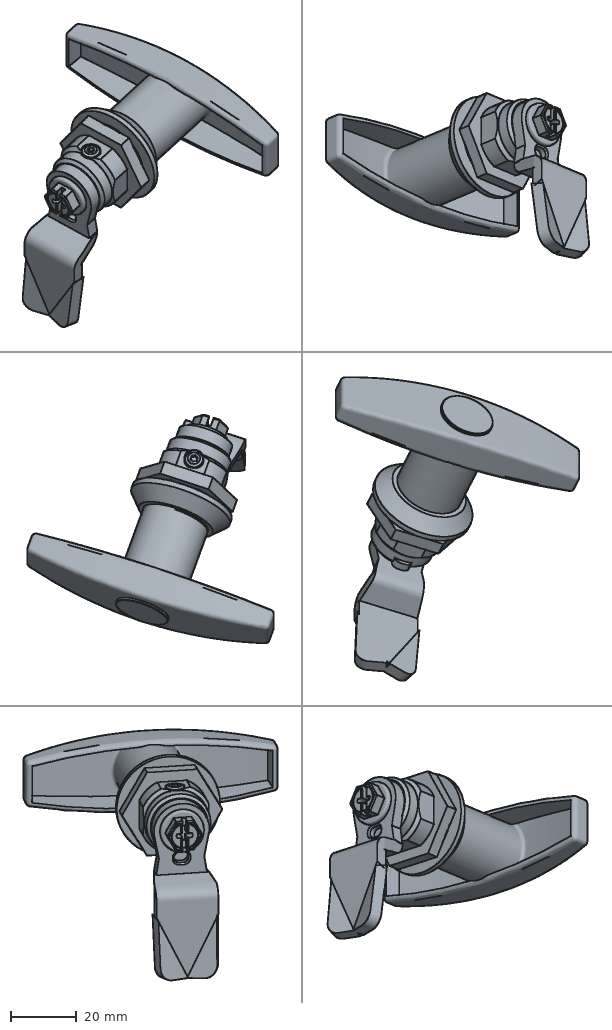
import cadquery as cq
import math


HANDLE_LENGTH = 78.0
HANDLE_BACK_Y = 26.3
HANDLE_TOP_Y = 37.1
HANDLE_HALF_HEIGHT = 11.6
HANDLE_ARC_R = 176.3
HANDLE_EDGE_R = 1.5
HANDLE_RIM_R = 1.5
HANDLE_WALL = 1.7
POCKET_ROOF = 1.7
POCKET_DRAFT = 6.0
STEM_D = 20.9
STEM_ROOT_R = 0.9
STEM_ROOT_BAND = 1.55
CAP_D = 16.8
CAP_TOP_Y = 37.9
CAP_THICKNESS = 1.4
CAP_CHAMFER = 0.15

FLANGE_D = 32.0
FLANGE_TOP_D = 24.0
FLANGE_RIM = 1.7
FLANGE_HEIGHT = 6.2
STOP_HEIGHT = 0.5
THREAD_D = 22.2
FLATS_WIDTH = 20.3
HOUSING_END_Y = -13.1
HOUSING_CHAMFER = 1.2
GASKET_D = 23.4
GASKET_THICKNESS = 0.4
NUT_WIDTH = 27.0
NUT_TOP_Y = -1.9
NUT_THICKNESS = 4.05

SET_SCREW_Y = -10.85
SET_SCREW_D = 5.45
SET_SCREW_LENGTH = 3.9
SET_SCREW_RAISE = 0.5
SET_SCREW_CHAMFER = 0.85
SET_SEAT_D = 6.0
SET_SEAT_DEPTH = 0.8
SET_SOCKET_WIDTH = 1.95
SET_SOCKET_DEPTH = 1.55

ROTOR_D = 19.8
ROTOR_LENGTH = 4.7
ROTOR_CHAMFER = 1.0

CAM_THICKNESS = 4.0
CAM_HEAD_R = 8.6
NECK_TAPER = 12.0
NECK_HALF_WIDTH = 7.0
NECK_Z = -8.9
BEND_Z = -14.1
BEND_ANGLE = 79.0
CRANK_LENGTH = 6.6
FLARE_SLOPE = 0.165
ARM_WIDTH = 19.2
ARM_BOTTOM_Z = -44.8
ARM_CORNER_R = 4.0
FOLD_TOP_Z = -25.0
WING_ANGLE = 18.0
STUD_WIDTH = 5.7
STUD_HEIGHT = 4.5
STUD_Z = -9.0
STUD_LENGTH = 2.5
DIMPLE_DEPTH = 2.5
DIMPLE_CHAMFER = 0.55

WASHER_D = 13.5
WASHER_THICKNESS = 1.55
WASHER_EDGE_R = 0.6
SCREW_WIDTH = 9.4
SCREW_HEAD = 4.0
SCREW_CHAMFER = 0.5
DISH_D = 8.1
DISH_DEPTH = 0.5
SHANK_D = 6.0
SHANK_REACH = 3.1
SLOT_WIDTH = 1.4
SLOT_DEPTH = 2.9
SLOT_MOUTH = 2.4
SLOT_MOUTH_D = 7.5
SLOT_MOUTH_DEPTH = 0.9
CROSS_WIDTH = 5.1
CROSS_HEIGHT = 4.75
CROSS_DEPTH = 3.9

ROTOR_END_Y = HOUSING_END_Y - ROTOR_LENGTH
CAM_FRONT_Y = ROTOR_END_Y - CAM_THICKNESS
WASHER_FRONT_Y = CAM_FRONT_Y - WASHER_THICKNESS
SCREW_FACE_Y = WASHER_FRONT_Y - SCREW_HEAD


def facing_minus_y(y):
    """Workplane across the lock axis at height y, with local axes X and Z, growing toward -Y."""
    return cq.Workplane("XZ", origin=(0, y, 0))


def disc(diameter, y_top, length):
    """Cylinder on the lock axis from y_top toward -Y."""
    return facing_minus_y(y_top).circle(diameter / 2).extrude(length)


def arc_drop(x):
    """Fall of the handle's long arcs at distance x from the middle."""
    return HANDLE_ARC_R - math.sqrt(HANDLE_ARC_R**2 - x**2)


def bowed_block(inset, roof, draft):
    """Block bounded by the handle's arcs, moved in by inset at the sides and by roof at the top."""
    half_length = HANDLE_LENGTH / 2 - inset
    half_height = HANDLE_HALF_HEIGHT - inset
    top_y = HANDLE_TOP_Y - roof
    end_z = half_height - arc_drop(half_length)
    footprint = (
        cq.Workplane("XZ", origin=(0, HANDLE_BACK_Y, 0))
        .moveTo(-half_length, -end_z)
        .threePointArc((0, -half_height), (half_length, -end_z))
        .lineTo(half_length, end_z)
        .threePointArc((0, half_height), (-half_length, end_z))
        .close()
        .extrude(HANDLE_BACK_Y - HANDLE_TOP_Y, taper=draft)
    )
    end_y = top_y - arc_drop(HANDLE_LENGTH / 2)
    side = (
        cq.Workplane("XY", origin=(0, 0, -HANDLE_HALF_HEIGHT))
        .moveTo(-HANDLE_LENGTH / 2, HANDLE_BACK_Y)
        .lineTo(HANDLE_LENGTH / 2, HANDLE_BACK_Y)
        .lineTo(HANDLE_LENGTH / 2, end_y)
        .threePointArc((0, top_y), (-HANDLE_LENGTH / 2, end_y))
        .close()
        .extrude(2 * HANDLE_HALF_HEIGHT)
    )
    return footprint.intersect(side)


def stop_sector():
    """Quarter of the stem's end, at -X and +Z, that the housing's stop fills."""
    reach = STEM_D / 2
    quarter = (
        facing_minus_y(FLANGE_HEIGHT + STOP_HEIGHT)
        .center(-reach / 2, reach / 2)
        .rect(reach, reach)
        .extrude(STOP_HEIGHT)
    )
    return disc(STEM_D, FLANGE_HEIGHT + STOP_HEIGHT, STOP_HEIGHT).intersect(quarter)


def make_handle():
    grip = bowed_block(0, 0, 0)
    grip = grip.edges("|Y").fillet(HANDLE_EDGE_R)
    grip = grip.faces(">Y").edges().fillet(HANDLE_EDGE_R)
    grip = grip.faces("<Y").edges().fillet(HANDLE_RIM_R)
    grip = grip.cut(bowed_block(HANDLE_WALL, POCKET_ROOF, POCKET_DRAFT))
    stem_top = HANDLE_TOP_Y - POCKET_ROOF
    stem = disc(STEM_D, stem_top, stem_top - FLANGE_HEIGHT)
    grip = grip.union(stem)
    root = cq.selectors.BoxSelector(
        (-STEM_D / 2, stem_top - STEM_ROOT_BAND, -STEM_D / 3),
        (STEM_D / 2, stem_top, STEM_D / 3),
    )
    grip = grip.edges(root).fillet(STEM_ROOT_R)
    return grip.cut(stop_sector()).cut(make_cap())


def make_cap():
    return disc(CAP_D, CAP_TOP_Y, CAP_THICKNESS).faces(">Y").chamfer(CAP_CHAMFER)


def flatted_barrel():
    """Round bar with four flats that carries the gasket and the nut."""
    flats = facing_minus_y(0).rect(FLATS_WIDTH, FLATS_WIDTH).extrude(-HOUSING_END_Y)
    return disc(THREAD_D, 0, -HOUSING_END_Y).intersect(flats)


def make_housing():
    flange = (
        cq.Workplane("XY")
        .moveTo(0, 0)
        .lineTo(FLANGE_D / 2, 0)
        .lineTo(FLANGE_D / 2, FLANGE_RIM)
        .lineTo(FLANGE_TOP_D / 2, FLANGE_HEIGHT)
        .lineTo(0, FLANGE_HEIGHT)
        .close()
        .revolve(360, (0, 0, 0), (0, 1, 0))
    )
    chamfered = disc(THREAD_D, 0, -HOUSING_END_Y).faces("<Y").chamfer(HOUSING_CHAMFER)
    barrel = flatted_barrel().intersect(chamfered)
    return flange.union(barrel).union(stop_sector()).cut(set_screw_seat())


def make_gasket():
    return disc(GASKET_D, 0, GASKET_THICKNESS).cut(flatted_barrel())


def make_nut():
    corner_d = NUT_WIDTH / math.cos(math.radians(30))
    hexagon = facing_minus_y(NUT_TOP_Y).polygon(6, corner_d).extrude(NUT_THICKNESS)
    return hexagon.cut(flatted_barrel())


def set_screw_blank():
    top_z = FLATS_WIDTH / 2 + SET_SCREW_RAISE
    return (
        cq.Workplane("XY", origin=(0, SET_SCREW_Y, top_z))
        .circle(SET_SCREW_D / 2)
        .extrude(-SET_SCREW_LENGTH)
        .faces(">Z")
        .chamfer(SET_SCREW_RAISE, SET_SCREW_CHAMFER)
    )


def set_screw_seat():
    """Hole that fits the set screw, opened out around its head."""
    seat_z = FLATS_WIDTH / 2 - SET_SEAT_DEPTH
    mouth = (
        cq.Workplane("XY", origin=(0, SET_SCREW_Y, seat_z))
        .circle(SET_SEAT_D / 2)
        .extrude(SET_SEAT_DEPTH + SET_SCREW_RAISE)
    )
    return set_screw_blank().union(mouth)


def make_set_screw():
    socket = (
        cq.Workplane("XY", origin=(0, SET_SCREW_Y, FLATS_WIDTH / 2 + SET_SCREW_RAISE))
        .transformed(rotate=(0, 0, 90))
        .polygon(6, SET_SOCKET_WIDTH / math.cos(math.radians(30)))
        .extrude(-SET_SOCKET_DEPTH)
    )
    return set_screw_blank().cut(socket)


def make_rotor():
    drum = disc(ROTOR_D, HOUSING_END_Y, ROTOR_LENGTH).faces("<Y").chamfer(ROTOR_CHAMFER)
    return drum.cut(cam_stud()).cut(screw_shank()).cut(set_screw_seat())


def cam_stud():
    """Stop stud pressed out of the back of the cam."""
    return (
        cq.Workplane("XZ", origin=(0, ROTOR_END_Y + STUD_LENGTH, STUD_Z))
        .slot2D(STUD_WIDTH, STUD_HEIGHT)
        .extrude(STUD_LENGTH)
    )


def cam_dimple():
    """Recess left in the front of the cam, with a bevelled mouth."""
    mouth = cq.Plane(origin=(0, CAM_FRONT_Y, STUD_Z), xDir=(1, 0, 0), normal=(0, -1, 0))
    inner_width = STUD_WIDTH - 2 * DIMPLE_CHAMFER
    inner_height = STUD_HEIGHT - 2 * DIMPLE_CHAMFER
    well = cq.Workplane(mouth).slot2D(inner_width, inner_height).extrude(-DIMPLE_DEPTH)
    bevel = cq.Workplane(mouth).slot2D(STUD_WIDTH, STUD_HEIGHT).extrude(-DIMPLE_CHAMFER, taper=45)
    return well.union(bevel)


def crank_corner():
    """Y and Z of the inner corner of the cam's second bend."""
    slope = math.radians(90 - BEND_ANGLE)
    y = CAM_FRONT_Y + CAM_THICKNESS * math.sin(slope) - CRANK_LENGTH * math.cos(slope)
    z = BEND_Z - CAM_THICKNESS * math.cos(slope) - CRANK_LENGTH * math.sin(slope)
    return y, z


def cam_head():
    taper = math.radians(NECK_TAPER)
    side_x = CAM_HEAD_R * math.cos(taper)
    side_z = -CAM_HEAD_R * math.sin(taper)
    bend_x = NECK_HALF_WIDTH + FLARE_SLOPE * (NECK_Z - BEND_Z)
    return (
        facing_minus_y(ROTOR_END_Y)
        .moveTo(side_x, side_z)
        .threePointArc((0, CAM_HEAD_R), (-side_x, side_z))
        .lineTo(-NECK_HALF_WIDTH, NECK_Z)
        .lineTo(-bend_x, BEND_Z)
        .lineTo(bend_x, BEND_Z)
        .lineTo(NECK_HALF_WIDTH, NECK_Z)
        .close()
        .extrude(CAM_THICKNESS)
    )


def cam_crank():
    """Doubly bent middle of the cam, sharp inside and round outside, widening toward the arm."""
    slope = math.radians(90 - BEND_ANGLE)
    half_turn = math.radians(BEND_ANGLE / 2)
    t = CAM_THICKNESS
    corner_y, corner_z = crank_corner()
    bend_1 = (CAM_FRONT_Y + t * math.cos(half_turn), BEND_Z - t * math.sin(half_turn))
    lower = (CAM_FRONT_Y + t * math.sin(slope), BEND_Z - t * math.cos(slope))
    bend_2 = (corner_y - t * math.cos(half_turn), corner_z + t * math.sin(half_turn))
    upper = (corner_y - t * math.sin(slope), corner_z + t * math.cos(slope))
    profile = (
        cq.Workplane("YZ", origin=(-ARM_WIDTH / 2, 0, 0))
        .moveTo(CAM_FRONT_Y, BEND_Z)
        .lineTo(ROTOR_END_Y, BEND_Z)
        .threePointArc(bend_1, lower)
        .lineTo(corner_y, corner_z)
        .lineTo(corner_y - t, corner_z)
        .threePointArc(bend_2, upper)
        .close()
        .extrude(ARM_WIDTH)
    )
    start_x = NECK_HALF_WIDTH + FLARE_SLOPE * (NECK_Z - BEND_Z)
    flare_y = ROTOR_END_Y - (ARM_WIDTH / 2 - start_x) / FLARE_SLOPE
    end_y = corner_y - t
    flare = (
        cq.Workplane("XY", origin=(0, 0, BEND_Z))
        .polyline(
            [
                (-start_x, ROTOR_END_Y),
                (start_x, ROTOR_END_Y),
                (ARM_WIDTH / 2, flare_y),
                (ARM_WIDTH / 2, end_y),
                (-ARM_WIDTH / 2, end_y),
                (-ARM_WIDTH / 2, flare_y),
            ]
        )
        .close()
        .extrude(corner_z - BEND_Z)
    )
    return profile.intersect(flare)


def cam_arm():
    """Flat arm whose two lower corners are folded toward -Y along lines that meet at the tip."""
    corner_y, corner_z = crank_corner()
    half = ARM_WIDTH / 2
    middle_y = corner_y - CAM_THICKNESS / 2
    plate = (
        facing_minus_y(corner_y)
        .moveTo(-half, corner_z)
        .lineTo(half, corner_z)
        .lineTo(half, ARM_BOTTOM_Z)
        .lineTo(-half, ARM_BOTTOM_Z)
        .close()
        .extrude(CAM_THICKNESS)
        .edges("|Y and <Z")
        .fillet(ARM_CORNER_R)
    )
    tip = cq.Vector(0, middle_y, ARM_BOTTOM_Z)
    shoulder = cq.Vector(-half, middle_y, FOLD_TOP_Z)
    reach = 2 * (shoulder - tip).Length
    fold_plane = cq.Plane(origin=tip, xDir=shoulder - tip, normal=(0, -1, 0))
    beyond = (
        cq.Workplane(fold_plane)
        .center(0, reach / 2)
        .rect(2 * reach, reach)
        .extrude(reach, both=True)
    )

    def folded(shape, angle):
        return shape.rotate(tip.toTuple(), shoulder.toTuple(), angle)

    miter = folded(beyond, WING_ANGLE / 2)
    left = facing_minus_y(corner_y).center(-half, 0).rect(2 * half, 4 * reach).extrude(CAM_THICKNESS)
    wing = folded(plate.intersect(left), WING_ANGLE).intersect(miter)
    center = plate.cut(miter).cut(miter.mirror("YZ"))
    return center.union(wing).union(wing.mirror("YZ"))


def make_cam():
    cam = cam_head().union(cam_crank()).union(cam_arm()).union(cam_stud())
    return cam.cut(cam_dimple()).cut(screw_shank())


def make_washer():
    washer = disc(WASHER_D, CAM_FRONT_Y, WASHER_THICKNESS).faces("<Y").edges().fillet(WASHER_EDGE_R)
    return washer.cut(screw_shank())


def screw_shank():
    top_y = ROTOR_END_Y + SHANK_REACH
    return disc(SHANK_D, top_y, top_y - WASHER_FRONT_Y)


def make_screw():
    corner_r = SCREW_WIDTH / 2 / math.cos(math.radians(30))
    head = facing_minus_y(WASHER_FRONT_Y).polygon(6, 2 * corner_r).extrude(SCREW_HEAD)
    head = head.faces("<Y").chamfer(SCREW_CHAMFER)
    dish = disc(DISH_D, SCREW_FACE_Y + DISH_DEPTH, DISH_DEPTH)
    slot = facing_minus_y(SCREW_FACE_Y).rect(SLOT_WIDTH, 2 * SCREW_WIDTH).extrude(-SLOT_DEPTH)
    mouth = facing_minus_y(SCREW_FACE_Y).rect(SLOT_MOUTH, SLOT_MOUTH_D).extrude(-SLOT_MOUTH_DEPTH)
    mouth = mouth.intersect(disc(SLOT_MOUTH_D, WASHER_FRONT_Y, SCREW_HEAD))
    cross_arm = facing_minus_y(SCREW_FACE_Y).slot2D(CROSS_WIDTH, SLOT_WIDTH).extrude(-CROSS_DEPTH)
    cross_post = facing_minus_y(SCREW_FACE_Y).rect(SLOT_WIDTH, CROSS_HEIGHT).extrude(-CROSS_DEPTH)
    screw = head.union(screw_shank())
    return screw.cut(dish).cut(slot).cut(mouth).cut(cross_arm).cut(cross_post)


handle = make_handle()
cap = make_cap()
housing = make_housing()
gasket = make_gasket()
nut = make_nut()
set_screw = make_set_screw()
rotor = make_rotor()
cam = make_cam()
washer = make_washer()
cam_screw = make_screw()

bodies = [handle, cap, housing, gasket, nut, set_screw, rotor, cam, washer, cam_screw]
result = cq.Compound.makeCompound([body.val() for body in bodies])